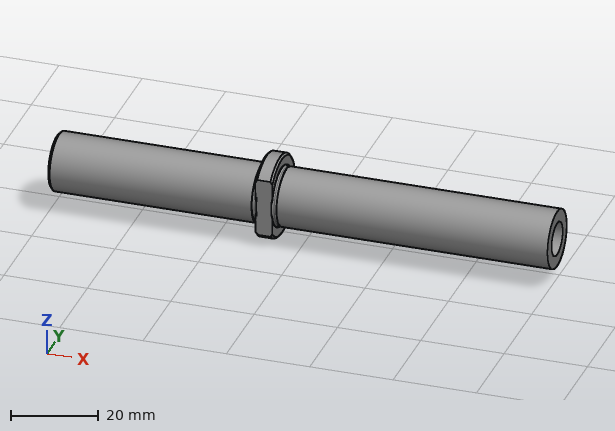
import cadquery as cq
import math

length = 120.0
tube_radius = 14.0 / 2
bore_radius = 8.0 / 2
end_chamfer = 0.6

collar_start = 49.9
collar_width = 4.1
collar_radius = 19.9 / 2
collar_chamfer = 0.5
collar_middle = collar_start + collar_width / 2

groove_radius = 13.3 / 2
groove_width = 1.0
undercut_depth = 0.2
undercut_radius = 7.3
corner_radius = 0.5


def cylinder(start, width, radius):
    """Solid cylinder around the X axis."""
    return cq.Workplane("YZ", origin=(start, 0, 0)).circle(radius).extrude(width)


def make_tube():
    """Tube body, chamfered at the X = 0 end only."""
    return cylinder(0, length, tube_radius).faces("<X").chamfer(end_chamfer)


def make_collar():
    """Collar with chamfered rims, cut flat on the -Y side."""
    collar = cylinder(collar_start, collar_width, collar_radius)
    collar = collar.faces("<X or >X").chamfer(collar_chamfer)
    beyond_flat = cq.Workplane("XY").box(length, 2 * collar_radius, 2 * collar_radius)
    beyond_flat = beyond_flat.translate((collar_middle, -tube_radius - collar_radius, 0))
    return collar.cut(beyond_flat)


def make_relief():
    """Ring cut from the left groove: flat floor, rounded corner, tapered undercut in the collar face."""
    deepest_x = collar_start + undercut_depth
    arc_start_x = deepest_x - corner_radius
    arc_end_r = groove_radius + corner_radius
    arc_middle = (
        arc_start_x + corner_radius * math.sin(math.pi / 4),
        arc_end_r - corner_radius * math.cos(math.pi / 4),
    )
    groove_start = collar_start - groove_width
    return (
        cq.Workplane("XY")
        .moveTo(groove_start, groove_radius)
        .lineTo(arc_start_x, groove_radius)
        .threePointArc(arc_middle, (deepest_x, arc_end_r))
        .lineTo(collar_start, undercut_radius)
        .lineTo(groove_start, undercut_radius)
        .close()
        .revolve(360, (0, 0, 0), (1, 0, 0))
    )


left_relief = make_relief()
right_relief = left_relief.mirror("YZ", (collar_middle, 0, 0))

result = make_tube().union(make_collar())
result = result.cut(left_relief).cut(right_relief)
result = result.cut(cylinder(0, length, bore_radius))